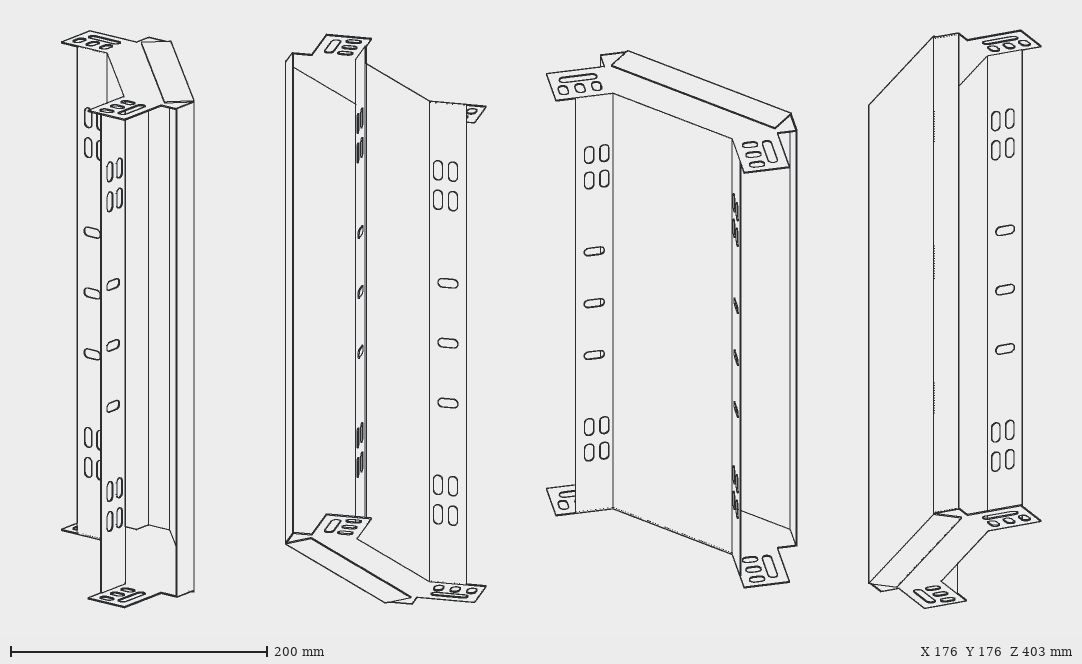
import cadquery as cq
import math

span = 176.0
height = 403.0
sheet = 1.0
bend_angle = 45

tab_length = 46.5
tab_width = 36.3
tab_setback = 15.7
wall_bend_from_end = 45.5
wall_flange = 30.0

wing_length = 21.8
lip_width = 23.5

upright = 90
slots_per_row = 3
slot_width = 7.3
long_slot_length = 30.0
long_slot_from_end = 23.0
long_slot_inset = 11.0
short_slot_length = 12.0
short_slot_inset = 24.0
short_slot_pitch = 13.5
short_slots_from_end = 21.8
wall_slot_length = 16.0
pair_from_end = 26.5
pair_pitch = 12.0
level_slot_from_end = 30.5
upright_slot_levels = (119.0, 143.5)
level_slot_pitch = 50.0

half = span / 2
tab_outer = half - tab_setback
tab_inner = tab_outer - tab_width
tab_root = tab_length - half
wall_bend = wall_bend_from_end - half
wing_end = tab_root + wing_length
plate_top = height / 2 - sheet
plate_under = plate_top - sheet
miter = sheet * math.tan(math.radians(bend_angle / 2))


def mirrored(points):
    """Continue a path that reaches the X = Y plane with its mirror image."""
    return points + [(y, x) for x, y in reversed(points)]


def prism(outer, inner, bottom, top):
    """Solid between two half paths, each continued across the X = Y plane."""
    outline = mirrored(outer) + mirrored(inner)[::-1]
    return cq.Workplane("XY").workplane(offset=bottom).polyline(outline).close().extrude(top - bottom)


def swap_xy(shape):
    """Mirror image about the plane X = Y."""
    return shape.mirror("YZ").rotate((0, 0, 0), (0, 0, 1), -90)


def end_plate(bottom):
    """Flat plate with a tab at each end, reaching to the inside faces of the cover."""
    face = half - sheet
    outer_edge = [
        (-half, tab_inner),
        (-half, tab_outer),
        (tab_root, tab_outer),
        (tab_root, face),
        (wing_end - miter, face),
    ]
    inner_edge = [(wall_bend, tab_inner)]
    return prism(outer_edge, inner_edge, bottom, bottom + sheet)


def inner_wall():
    start = wall_bend - wall_flange
    outer = [(start, tab_inner), (wall_bend, tab_inner)]
    inner = [(start, tab_inner + sheet), (wall_bend + miter, tab_inner + sheet)]
    return prism(outer, inner, -plate_top, plate_top)


def tab_slots():
    """Cutters through the tabs of both end plates."""
    long_slot = (
        cq.Workplane("XY")
        .center(long_slot_from_end - half, tab_outer - long_slot_inset)
        .slot2D(long_slot_length, slot_width)
        .extrude(height, both=True)
    )
    short_slots = (
        cq.Workplane("XY")
        .center(short_slots_from_end - half, tab_outer - short_slot_inset)
        .rarray(short_slot_pitch, 4, slots_per_row, 1)
        .slot2D(short_slot_length, slot_width, upright)
        .extrude(height, both=True)
    )
    return long_slot.union(short_slots)


def wall_slots():
    """Cutters through the inner wall, running past it by one sheet on each side."""
    columns = [pair_from_end - half, pair_from_end + pair_pitch - half]
    places = [(x, side * z) for x in columns for z in upright_slot_levels for side in (-1, 1)]
    wall_plane = cq.Workplane("XZ", origin=(0, tab_inner + 2 * sheet, 0))
    depth = 3 * sheet
    upright_slots = wall_plane.pushPoints(places).slot2D(wall_slot_length, slot_width, upright).extrude(depth)
    level_slots = (
        wall_plane.center(level_slot_from_end - half, 0)
        .rarray(4, level_slot_pitch, 1, slots_per_row)
        .slot2D(wall_slot_length, slot_width)
        .extrude(depth)
    )
    return upright_slots.union(level_slots)


def make_tray():
    tray = inner_wall().union(end_plate(plate_under)).union(end_plate(-plate_top))
    for slots in (tab_slots(), wall_slots()):
        tray = tray.cut(slots).cut(swap_xy(slots))
    return tray


def cover_wall():
    outer = [(tab_root, half), (wing_end, half)]
    inner = [(tab_root, half - sheet), (wing_end - miter, half - sheet)]
    return prism(outer, inner, -plate_top, plate_top)


def cover_lip(bottom):
    """Rectangle running inward from the slanted face of the cover."""
    step = lip_width / math.sqrt(2)
    outline = mirrored([(wing_end - step, half - step), (wing_end, half)])
    return cq.Workplane("XY").workplane(offset=bottom).polyline(outline).close().extrude(sheet)


def make_cover():
    return cover_wall().union(cover_lip(plate_top)).union(cover_lip(-height / 2))


tray = make_tray()
cover = make_cover()

result = cq.Compound.makeCompound([tray.val(), cover.val()])